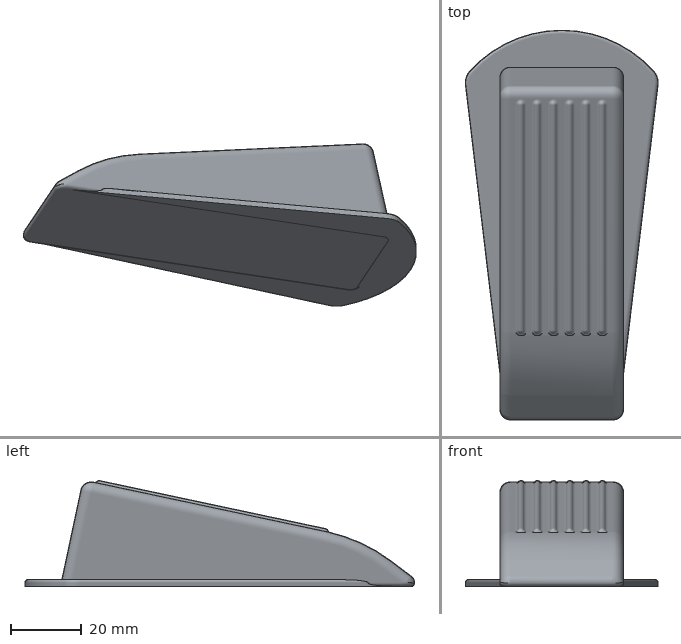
import cadquery as cq
import math

wedge_width = 35.0
wedge_length = 100.2
ramp_angle = 12.0
heel_lean = ramp_angle
nose_angle = 37.0
ramp_front_y = 24.6
ramp_front_z = 15.42
front_radius = 45.0
edge_radius = 3.0
nose_radius = 2.3
bottom_radius = 1.0

rib_count = 6
rib_pitch = 4.6
rib_length = 65.2
rib_front_offset = 0.8
rib_height = 0.8
rib_crown_radius = 1.0
rib_root_radius = 1.0
rib_sink = 0.1

plate_width = 54.54
plate_rear_y = 110.24
plate_front_y = 3.0
plate_thickness = 2.0
plate_rear_radius = 35.0
plate_corner_radius = 5.0
plate_side_taper = 6.8
plate_edge_radius = 1.0


def sin(angle):
    return math.sin(math.radians(angle))


def cos(angle):
    return math.cos(math.radians(angle))


def tan(angle):
    return math.tan(math.radians(angle))


def front_curve_point(angle):
    """Point (Y, Z) of the front curve where its tangent falls at the given angle."""
    y = ramp_front_y - front_radius * (sin(angle) - sin(ramp_angle))
    z = ramp_front_z - front_radius * (cos(ramp_angle) - cos(angle))
    return y, z


def make_wedge_blank():
    """The rounded wedge without its ribs."""
    curve_middle = front_curve_point((ramp_angle + nose_angle) / 2)
    curve_end = front_curve_point(nose_angle)
    nose_top_z = curve_end[1] - curve_end[0] * tan(nose_angle)
    ramp_z_at_nose = ramp_front_z - ramp_front_y * tan(ramp_angle)
    ramp_z_at_heel_foot = ramp_z_at_nose + wedge_length * tan(ramp_angle)
    heel_top_z = ramp_z_at_heel_foot / (1 + tan(ramp_angle) * tan(heel_lean))
    heel_top_y = wedge_length - heel_top_z * tan(heel_lean)

    blank = (
        cq.Workplane("YZ")
        .moveTo(0, 0)
        .lineTo(wedge_length, 0)
        .lineTo(heel_top_y, heel_top_z)
        .lineTo(ramp_front_y, ramp_front_z)
        .threePointArc(curve_middle, curve_end)
        .lineTo(0, nose_top_z)
        .close()
        .extrude(wedge_width / 2, both=True)
    )
    nose_edge = cq.selectors.NearestToPointSelector((0, 0, nose_top_z))
    bottom_edges = cq.selectors.DirectionMinMaxSelector(cq.Vector(0, 0, 1), False)
    blank = blank.edges(-(nose_edge + bottom_edges)).fillet(edge_radius)
    blank = blank.edges(nose_edge).fillet(nose_radius)
    return blank.faces("<Z").edges().fillet(bottom_radius)


def make_rib():
    """One rib along +X of its own frame, standing on Z = 0, front end centre at the origin."""
    crown_z = rib_height - rib_crown_radius
    blend = math.acos((rib_root_radius - crown_z) / (rib_crown_radius + rib_root_radius))
    half_base = (rib_crown_radius + rib_root_radius) * math.sin(blend)
    joint = (
        rib_crown_radius * math.sin(blend),
        crown_z + rib_crown_radius * math.cos(blend),
    )
    crown_middle = (
        rib_crown_radius * math.sin(blend / 2),
        crown_z + rib_crown_radius * math.cos(blend / 2),
    )
    root_middle = (
        half_base - rib_root_radius * math.sin(blend / 2),
        rib_root_radius - rib_root_radius * math.cos(blend / 2),
    )

    def half_section():
        return (
            cq.Workplane("YZ")
            .moveTo(0, -rib_sink)
            .lineTo(0, rib_height)
            .threePointArc(crown_middle, joint)
            .threePointArc(root_middle, (half_base, 0))
            .lineTo(half_base, -rib_sink)
            .close()
        )

    half_bar = half_section().extrude(rib_length)
    bar = half_bar.union(half_bar.mirror("XZ"))
    end = half_section().revolve(360, (0, 0, 0), (0, 1, 0))
    return bar.union(end).union(end.translate((rib_length, 0, 0)))


def place_on_ramp(rib, x):
    """Stand the rib on the ramp, pointing up the slope."""
    along = (0, cos(ramp_angle), sin(ramp_angle))
    origin = (
        x,
        ramp_front_y + rib_front_offset * along[1],
        ramp_front_z + rib_front_offset * along[2],
    )
    ramp_plane = cq.Plane(origin=origin, xDir=along, normal=(0, -along[2], along[1]))
    return cq.Workplane(rib.val().moved(ramp_plane.location))


def make_wedge():
    """The wedge with its grip ribs, one solid."""
    wedge = make_wedge_blank()
    rib = make_rib()
    for index in range(rib_count):
        x = (index - (rib_count - 1) / 2) * rib_pitch
        wedge = wedge.union(place_on_ramp(rib, x))
    return wedge


def make_plate(wedge):
    """Tapered plate with a round rear, open where the wedge passes through it."""
    rear_centre_y = plate_rear_y - plate_rear_radius
    corner_x = plate_width / 2 - plate_corner_radius
    centre_distance = plate_rear_radius - plate_corner_radius
    corner_y = rear_centre_y + math.sqrt(centre_distance**2 - corner_x**2)
    rear_normal = math.degrees(math.acos(corner_x / centre_distance))

    def corner_point(angle):
        x = corner_x + plate_corner_radius * cos(angle)
        y = corner_y + plate_corner_radius * sin(angle)
        return x, y

    side_rear = corner_point(-plate_side_taper)
    corner_rear = corner_point(rear_normal)
    corner_middle = corner_point((rear_normal - plate_side_taper) / 2)
    front_x = side_rear[0] - (side_rear[1] - plate_front_y) * tan(plate_side_taper)

    plate = (
        cq.Workplane("XY")
        .moveTo(-front_x, plate_front_y)
        .lineTo(front_x, plate_front_y)
        .lineTo(*side_rear)
        .threePointArc(corner_middle, corner_rear)
        .threePointArc((0, plate_rear_y), (-corner_rear[0], corner_rear[1]))
        .threePointArc((-corner_middle[0], corner_middle[1]), (-side_rear[0], side_rear[1]))
        .close()
        .extrude(plate_thickness)
    )
    plate = plate.faces(">Z").edges().fillet(plate_edge_radius)
    return plate.cut(wedge)


wedge = make_wedge()
plate = make_plate(wedge)

result = cq.Compound.makeCompound([wedge.val(), plate.val()])